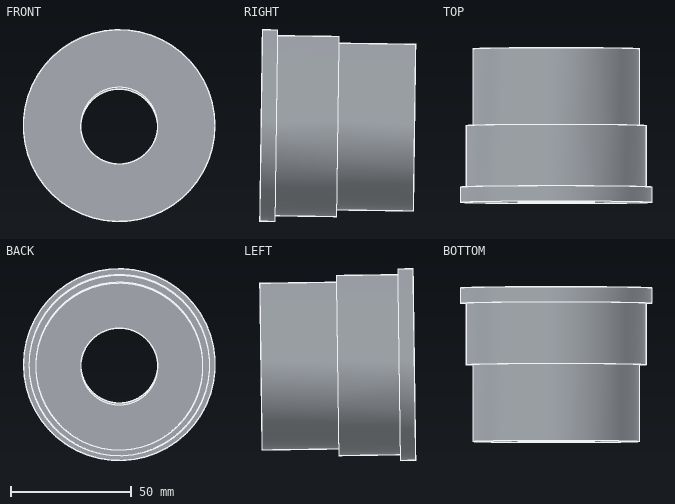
import cadquery as cq

bore_diameter = 31.8
flange_diameter = 79.4
middle_diameter = 74.7
nose_diameter = 69.2

flange_thickness = 6.4
middle_length = 25.45
nose_length = 31.8
total_length = flange_thickness + middle_length + nose_length

axis_tilt = -0.8


def cylinder_section(diameter, start, length):
    """Cylinder along +Y that begins at the given distance from the flange face."""
    return cq.Workplane("XZ", origin=(0, start, 0)).circle(diameter / 2).extrude(-length)


flange = cylinder_section(flange_diameter, 0, flange_thickness)
middle = cylinder_section(middle_diameter, flange_thickness, middle_length)
nose = cylinder_section(nose_diameter, flange_thickness + middle_length, nose_length)
bore = cylinder_section(bore_diameter, 0, total_length)

bushing = flange.union(middle).union(nose).cut(bore)
result = bushing.rotate((0, 0, 0), (1, 0, 0), axis_tilt)